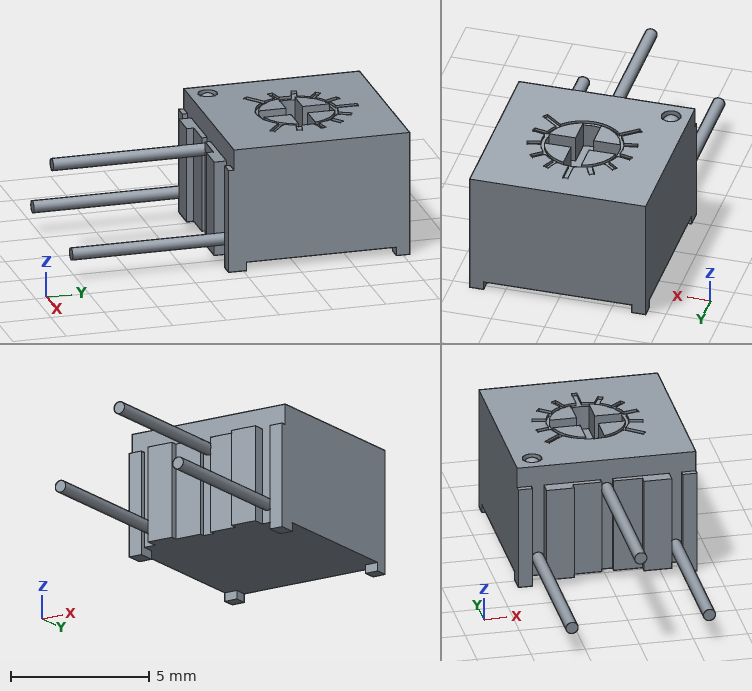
import cadquery as cq

BODY_SIDE = 6.6
TOTAL_HEIGHT = 4.7
TOTAL_LENGTH = 12.5
FOOT_HEIGHT = 0.32
FOOT_LENGTH = 0.5
FRONT_FOOT_INSET = 0.48
RIB_DROP = 0.78
POST_WIDTH = 0.52
POST_DEPTH = 0.2
PAD_DEPTH = 0.46
PAD_STEP = 1.29
CENTRE_SLOT_WIDTH = 0.44

PIN_DIAMETER = 0.45
PIN_PITCH = 2.54
CENTRE_PIN_DROP = 1.14

ROTOR_RADIUS = 1.38
ROTOR_HEIGHT = 1.0
CROSS_WIDTH_X = 0.68
CROSS_WIDTH_Y = 0.62

RING_RADIUS = 1.5
MARK_DEPTH = 0.1
TICK_WIDTH = 0.2
TICK_RADIUS = 2.0
LONG_TICK_RADIUS = 2.29
TICK_STEP = 360 / 14
TICKS_EACH_SIDE = 5

DOME_RADIUS = 0.35
DOME_OFFSET = 2.6

HALF_SIDE = BODY_SIDE / 2
FRONT_Y = -HALF_SIDE
PIN_TIP_Y = HALF_SIDE - TOTAL_LENGTH
RIB_TOP = TOTAL_HEIGHT - RIB_DROP
PIN_LENGTH = FRONT_Y - PIN_TIP_Y
CENTRE_PIN_Z = TOTAL_HEIGHT - CENTRE_PIN_DROP
OUTER_PIN_Z = CENTRE_PIN_Z - PIN_PITCH
POST_INNER_X = HALF_SIDE - POST_WIDTH
PAD_OUTER_X = PIN_PITCH - PIN_DIAMETER / 2
ROTOR_FLOOR = TOTAL_HEIGHT - ROTOR_HEIGHT
MARK_FLOOR = TOTAL_HEIGHT - MARK_DEPTH
PIN_AXES = [(-PIN_PITCH, OUTER_PIN_Z), (0, CENTRE_PIN_Z), (PIN_PITCH, OUTER_PIN_Z)]


def block(x_range, y_range, z_range):
    """Box between two limits on each axis."""
    sizes = [high - low for low, high in (x_range, y_range, z_range)]
    corner = (x_range[0], y_range[0], z_range[0])
    return cq.Workplane("XY").box(*sizes, centered=False).translate(corner)


def mirrored(shape):
    """The shape together with its mirror image across X = 0."""
    return shape.union(shape.mirror("YZ"))


def disc(radius, floor):
    """Cylinder on the rotor axis, from a floor up to the housing top."""
    return cq.Workplane("XY").workplane(offset=floor).circle(radius).extrude(TOTAL_HEIGHT - floor)


def front_ribs():
    """Corner posts and stepped pads that leave a slot for each pin."""
    heights = (FOOT_HEIGHT, RIB_TOP)
    low_depths = (FRONT_Y - POST_DEPTH, FRONT_Y)
    high_depths = (FRONT_Y - PAD_DEPTH, FRONT_Y)
    post = block((POST_INNER_X, HALF_SIDE), low_depths, heights)
    low_pad = block((CENTRE_SLOT_WIDTH / 2, PAD_STEP), low_depths, heights)
    high_pad = block((PAD_STEP, PAD_OUTER_X), high_depths, heights)
    return mirrored(post.union(low_pad).union(high_pad))


def feet():
    """One foot under each corner; the front ones run out under the posts."""
    widths = (POST_INNER_X, HALF_SIDE)
    heights = (0, FOOT_HEIGHT)
    rear = block(widths, (HALF_SIDE - FOOT_LENGTH, HALF_SIDE), heights)
    front = block(widths, (FRONT_Y - POST_DEPTH, FRONT_Y + FRONT_FOOT_INSET), heights)
    return mirrored(rear.union(front))


def scale_marks():
    """Shallow ring round the rotor with radial ticks; the middle and end ticks are long."""
    marks = disc(RING_RADIUS, MARK_FLOOR)
    for index in range(-TICKS_EACH_SIDE, TICKS_EACH_SIDE + 1):
        is_long = index in (-TICKS_EACH_SIDE, 0, TICKS_EACH_SIDE)
        reach = LONG_TICK_RADIUS if is_long else TICK_RADIUS
        tick = block((-TICK_WIDTH / 2, TICK_WIDTH / 2), (0, reach), (MARK_FLOOR, TOTAL_HEIGHT))
        marks = marks.union(tick.rotate((0, 0, 0), (0, 0, 1), index * TICK_STEP))
    return marks


def pin_one_mark():
    """Space round a dome that stands in a round hole and peaks level with the housing top."""
    floor = TOTAL_HEIGHT - DOME_RADIUS
    hole = cq.Workplane("XY").workplane(offset=floor).circle(DOME_RADIUS).extrude(DOME_RADIUS)
    dome = cq.Workplane("XY").sphere(DOME_RADIUS).translate((0, 0, floor))
    return hole.cut(dome).translate((-DOME_OFFSET, -DOME_OFFSET, 0))


def make_pin(x, z):
    """Round pin from the housing front face to its tip."""
    plane = cq.Plane(origin=(x, FRONT_Y, z), xDir=(1, 0, 0), normal=(0, -1, 0))
    return cq.Workplane(plane).circle(PIN_DIAMETER / 2).extrude(PIN_LENGTH)


def make_rotor_quadrants():
    """Four sectors of the rotor, parted by the screwdriver cross."""
    arm_y = block((-CROSS_WIDTH_X / 2, CROSS_WIDTH_X / 2), (-ROTOR_RADIUS, ROTOR_RADIUS),
                  (ROTOR_FLOOR, TOTAL_HEIGHT))
    arm_x = block((-ROTOR_RADIUS, ROTOR_RADIUS), (-CROSS_WIDTH_Y / 2, CROSS_WIDTH_Y / 2),
                  (ROTOR_FLOOR, TOTAL_HEIGHT))
    return disc(ROTOR_RADIUS, ROTOR_FLOOR).cut(arm_y).cut(arm_x).solids()


def make_housing(pins):
    """Square case with ribs, feet, rotor recess, scale and pin 1 mark."""
    case = block((-HALF_SIDE, HALF_SIDE), (-HALF_SIDE, HALF_SIDE), (FOOT_HEIGHT, TOTAL_HEIGHT))
    housing = case.union(front_ribs()).union(feet())
    housing = housing.cut(scale_marks()).cut(disc(ROTOR_RADIUS, ROTOR_FLOOR)).cut(pin_one_mark())
    for pin in pins:
        housing = housing.cut(pin)
    return housing


pins = [make_pin(x, z) for x, z in PIN_AXES]
housing = make_housing(pins)
rotor_quadrants = make_rotor_quadrants()

result = cq.Compound.makeCompound([
    housing.val(),
    *rotor_quadrants.vals(),
    *[pin.val() for pin in pins],
])